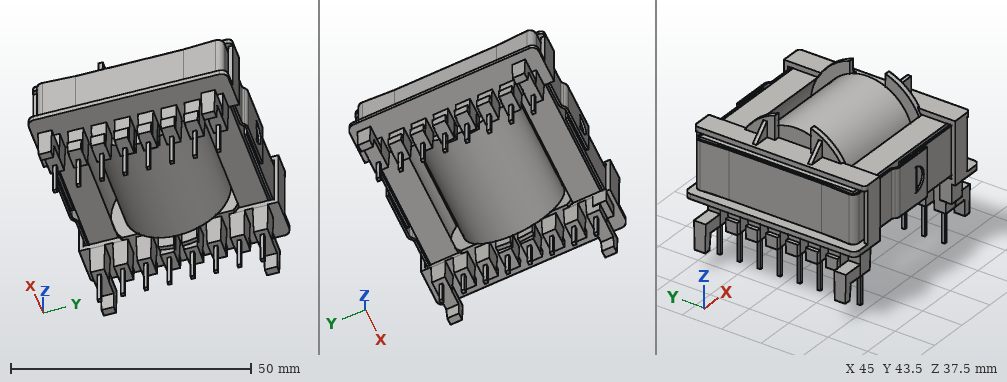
import cadquery as cq
import math


core_length = 40.15
core_width = 39.05
core_height = 12.8
centre_leg_diameter = 12.8
window_diameter = 29.35
window_length = 29.15

clip_thickness = 0.5
clip_height = 12.0
strip_outer_y = 20.45
contact_half_width = 11.75
clip_bulge = 0.4
clip_corner_radius = 1.5
overlap_half_length = 4.2
jog_start_x = 7.7
jog_step = 0.85
jog_radius = 1.2
latch_radius = 3.1
latch_x = -0.15

bore_diameter = 13.0
winding_diameter = 23.25
winding_length = 25.75
flange_diameter = 29.0
flange_thickness = 1.3
flange_slot_width = 9.1

frame_opening = 13.0
frame_inner_x = 13.6
frame_width = 43.5
plate_thickness = 1.3
bottom_plate_outer_x = 22.5
bottom_corner_radius = 1.5
top_plate_outer_x = 19.0
cheek_thickness = 0.95
rib_length = 3.85
rib_thickness = 0.95
rib_y = 7.0

post_count = 8
post_pitch = 5.1
post_top_width = 3.35
post_top_outer_x = 17.4
draft = 0.2
post_height = 7.8
ledge_height = 2.95
ledge_depth = 1.05
ledge_inset = 0.05
foot_height = 4.1
foot_top_width = 1.95
foot_bottom_width = 1.6
key_outer_y = 20.85
pin_width = 0.75
pin_x = 15.25
pin_bottom_z = -23.7

yoke_face_x = core_length / 2
strip_y = strip_outer_y - clip_thickness / 2
clip_corner_x = yoke_face_x + clip_thickness + clip_bulge
flange_inner_x = winding_length / 2
flange_outer_x = flange_inner_x + flange_thickness
plate_inner_z = frame_opening / 2
plate_outer_z = plate_inner_z + plate_thickness
post_bottom_z = -plate_outer_z - post_height
ledge_top_z = post_bottom_z + ledge_height
foot_bottom_z = post_bottom_z - foot_height
jog_angle = math.acos(1 - jog_step / (2 * jog_radius))
jog_length = 2 * jog_radius * math.sin(jog_angle)
post_places = [(index - (post_count - 1) / 2) * post_pitch for index in range(post_count)]


def block(x0, x1, y0, y1, z0, z1):
    """Box between two opposite corners."""
    return cq.Workplane("XY").box(x1 - x0, y1 - y0, z1 - z0, centered=False).translate((x0, y0, z0))


def x_cylinder(diameter, x0, x1):
    """Cylinder on the winding axis."""
    return cq.Workplane("YZ", origin=(x0, 0, 0)).circle(diameter / 2).extrude(x1 - x0)


def half_turn(body):
    """The same shape on the opposite end, turned about Z."""
    return body.rotate((0, 0, 0), (0, 0, 1), 180)


def make_core():
    half_window = window_length / 2
    core = cq.Workplane("XY").box(core_length, core_width, core_height)
    window = x_cylinder(window_diameter, -half_window, half_window)
    centre_leg = x_cylinder(centre_leg_diameter, -half_window, half_window)
    return core.cut(window).union(centre_leg)


def clip_strip(x0, x1, mid_y):
    half_thickness = clip_thickness / 2
    half_height = clip_height / 2
    return block(x0, x1, mid_y - half_thickness, mid_y + half_thickness, -half_height, half_height)


def clip_jog(x0, mid_y, step):
    """S-bend of two equal arcs, from mid_y to mid_y + step."""
    radius = math.copysign(jog_radius, -step)
    path = (
        cq.Workplane("XY")
        .moveTo(x0, mid_y)
        .radiusArc((x0 + jog_length / 2, mid_y + step / 2), radius)
        .radiusArc((x0 + jog_length, mid_y + step), -radius)
    )
    section = cq.Workplane("YZ", origin=(x0, mid_y, 0)).rect(clip_thickness, clip_height)
    return section.sweep(path)


def bracket_prism(inset):
    """Solid inside the bracket outline, with its walls moved in by inset."""
    side_y = strip_outer_y - inset
    corner_x = clip_corner_x - inset
    flat_x = yoke_face_x + clip_thickness - inset
    outline = cq.Workplane("XY", origin=(0, 0, -clip_height / 2)).polyline([
        (0, side_y),
        (-corner_x, side_y),
        (-flat_x, contact_half_width),
        (-flat_x, -contact_half_width),
        (-corner_x, -side_y),
        (0, -side_y),
    ]).close()
    return outline.extrude(clip_height).edges("|Z and <X").fillet(clip_corner_radius - inset)


def clip_bracket():
    """The part of the -X clip that runs around the yoke, up to the jog."""
    middle = block(-jog_start_x, 0, -core_width, core_width, -clip_height, clip_height)
    return bracket_prism(0).cut(bracket_prism(clip_thickness)).cut(middle)


def make_clip():
    """The -X clip; its tongue lies on the -Y side, over the strip of the other clip."""
    jog_end_x = -jog_start_x + jog_length
    tongue_y = -strip_y - jog_step
    tongue = clip_strip(jog_end_x, overlap_half_length, tongue_y)

    half_round = (
        cq.Workplane("XZ")
        .moveTo(latch_x, -latch_radius)
        .threePointArc((latch_x + latch_radius, 0), (latch_x, latch_radius))
        .close()
        .extrude(frame_width / 2)
    )
    latch = clip_jog(latch_x, tongue_y, jog_step).intersect(half_round)

    return (
        clip_bracket()
        .union(clip_strip(-jog_start_x, overlap_half_length, strip_y))
        .union(clip_jog(-jog_start_x, -strip_y, -jog_step))
        .union(tongue.cut(half_round))
        .union(latch)
    )


def make_core_with_clips():
    clip = make_clip()
    return make_core().union(clip).union(half_turn(clip))


def corner_plate(outer_x, corner_radius, bottom_z):
    """Frame plate at the -X end, rounded at its two outer corners."""
    half_width = frame_width / 2
    plate = block(-outer_x, -frame_inner_x, -half_width, half_width, bottom_z, bottom_z + plate_thickness)
    return plate.edges("|Z and <X").fillet(corner_radius)


def make_frame():
    """Two plates and two cheeks around the yoke at the -X end."""
    half_width = frame_width / 2
    cheek_outer_x = top_plate_outer_x - cheek_thickness
    frame = corner_plate(bottom_plate_outer_x, bottom_corner_radius, -plate_outer_z)
    frame = frame.union(corner_plate(top_plate_outer_x, cheek_thickness, plate_inner_z))
    for inner_y in (-half_width, half_width - cheek_thickness):
        frame = frame.union(block(
            -cheek_outer_x, -frame_inner_x, inner_y, inner_y + cheek_thickness, -plate_outer_z, plate_outer_z
        ))
    return frame


def make_flange():
    """Flange at the -X end, slotted above the frame and cut to two tabs below it."""
    disc = x_cylinder(flange_diameter, -flange_outer_x, -flange_inner_x)
    reach = flange_diameter
    half_slot = flange_slot_width / 2
    slot = block(-reach, 0, -half_slot, half_slot, plate_outer_z, reach)
    below = block(-reach, 0, -reach, reach, -reach, -plate_outer_z)
    flange = disc.cut(slot).cut(below)
    half_post = post_top_width / 2
    for y in (-post_pitch / 2, post_pitch / 2):
        tab = block(-reach, 0, y - half_post, y + half_post, -reach, -plate_inner_z)
        flange = flange.union(disc.intersect(tab))
    return flange


def side_profile(points, y0, y1):
    """Solid with an outline in the XZ plane, from y0 to y1."""
    return cq.Workplane("XZ", origin=(0, y1, 0)).polyline(points).close().extrude(y1 - y0)


def post_draft(y, inset):
    """Bar along X at a post, narrowing downward over the post and its foot."""
    top = post_top_width / 2 - inset
    bottom = top - draft * (post_height + foot_height) / post_height
    outline = [
        (y - top, -plate_outer_z),
        (y + top, -plate_outer_z),
        (y + bottom, foot_bottom_z),
        (y - bottom, foot_bottom_z),
    ]
    bar = cq.Workplane("YZ", origin=(-bottom_plate_outer_x, 0, 0)).polyline(outline).close()
    return bar.extrude(bottom_plate_outer_x)


def make_post(y, has_foot):
    """Post at the -X end, with a foot or with a short ledge on its outer side."""
    y0 = y - post_top_width / 2
    y1 = y + post_top_width / 2
    bottom_inner_x = frame_inner_x + draft
    bottom_outer_x = post_top_outer_x - draft
    column = side_profile([
        (-post_top_outer_x, -plate_outer_z),
        (-frame_inner_x, -plate_outer_z),
        (-bottom_inner_x, post_bottom_z),
        (-bottom_outer_x, post_bottom_z),
    ], y0, y1)
    if has_foot:
        side = side_profile([
            (-bottom_inner_x, ledge_top_z),
            (-bottom_plate_outer_x, ledge_top_z),
            (-bottom_plate_outer_x, foot_bottom_z),
            (-bottom_plate_outer_x + foot_bottom_width, foot_bottom_z),
            (-bottom_plate_outer_x + foot_top_width, post_bottom_z),
            (-bottom_inner_x, post_bottom_z),
        ], y0, y1)
    else:
        ledge_x = -bottom_outer_x - ledge_depth
        side = block(ledge_x, -bottom_inner_x, y0, y1, post_bottom_z, ledge_top_z)
    return column.intersect(post_draft(y, 0)).union(side.intersect(post_draft(y, ledge_inset)))


def make_pin(y):
    half_width = pin_width / 2
    return block(
        -pin_x - half_width, -pin_x + half_width, y - half_width, y + half_width, pin_bottom_z, post_bottom_z
    )


def make_bobbin_end():
    """Frame, flange, posts and pins at the -X end."""
    end = make_frame().union(make_flange())
    for y in post_places:
        end = end.union(make_post(y, y in (post_places[0], post_places[-1])))
        end = end.union(make_pin(y))
    return end


def triangular_rib(y):
    """Sloped rib between the top plate and the -X flange."""
    return side_profile([
        (-flange_outer_x, plate_outer_z),
        (-flange_outer_x, plate_outer_z + rib_length),
        (-flange_outer_x - rib_length, plate_outer_z),
    ], y - rib_thickness / 2, y + rib_thickness / 2)


def square_rib(y):
    """Rib between the top plate and the +X flange."""
    return block(
        flange_outer_x, flange_outer_x + rib_length, y - rib_thickness / 2, y + rib_thickness / 2,
        plate_outer_z, plate_outer_z + rib_length,
    )


def make_ribs():
    """Four ribs; the one nearest the key is square, the others are sloped."""
    sloped = triangular_rib(-rib_y)
    return sloped.union(triangular_rib(rib_y)).union(half_turn(sloped)).union(square_rib(-rib_y))


def make_key():
    """Block on the outer side of the +X, -Y corner post."""
    return block(frame_inner_x, post_top_outer_x, -key_outer_y, post_places[0], ledge_top_z, -plate_outer_z)


def make_bobbin():
    end = make_bobbin_end()
    bobbin = x_cylinder(winding_diameter, -flange_inner_x, flange_inner_x)
    bobbin = bobbin.union(end).union(half_turn(end)).union(make_ribs()).union(make_key())
    return bobbin.cut(x_cylinder(bore_diameter, -flange_outer_x, flange_outer_x))


core_with_clips = make_core_with_clips()
bobbin = make_bobbin()

result = cq.Compound.makeCompound([core_with_clips.val(), bobbin.val()])